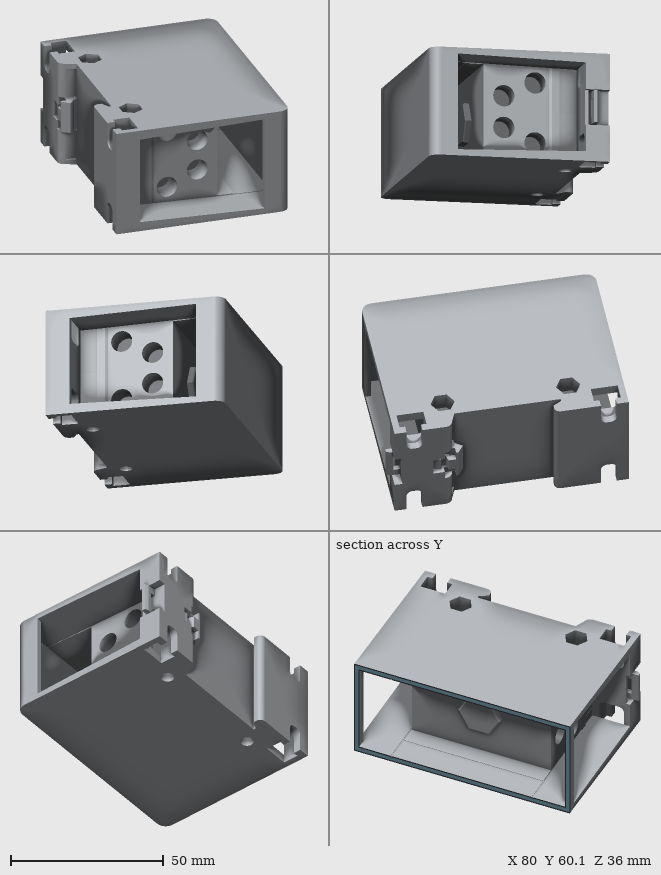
import cadquery as cq
import math

LENGTH = 78.0
HEIGHT = 60.1
WIDTH = 36.0
LATCH_OVERHANG = 2.0
HALF_LENGTH = LENGTH / 2
HALF_WIDTH = WIDTH / 2
LEFT = -HALF_LENGTH
LID_CORNER_RADIUS = 3.5

RAIL_DEPTH = 5.5
RAIL_LEFT_FOOT = -21.7
RAIL_LEFT_KNEE = -19.4
RAIL_LEFT_ROOT = -18.1
RAIL_KNEE_HEIGHT = 2.2
RAIL_LEFT_BULGE = 0.36
RAIL_FLANGE_WIDTH = 1.8
RAIL_RIGHT_ROOT = 17.4
RAIL_RIGHT_TIP = 14.5
RAIL_TIP_RADIUS = 1.9
RAIL_RIGHT_SLOPE_TOP = 4.6
RAIL_RIGHT_SLOPE_END = 3.0

BASE_TOP = 8.2
OPENING_TOP = 51.0
CAVITY_TOP = 57.6
LID_END_WALL = 1.8
WALL_TOP = 2.0
WALL_BASE = 3.2
TAPER_TOP = 52.4
LINER_TOP = 45.4
LINER_THICKNESS = 0.2
GROOVE_WIDTH = 0.6
GROOVE_DEPTH = 0.2

BLOCK_INSET = 13.8
BLOCK_TOP = 39.4
FOOT_PROUD = 0.5
FOOT_SLOPE_TOP = 17.4
FOOT_SLOPE_BOTTOM = 16.6
FOOT_BOTTOM = 13.9
STEP_HEIGHT = 0.1
STEP_EDGE = -11.7
WIRE_HOLE_DIAMETER = 7.1
WIRE_HOLE_DEPTH = 8.0
WIRE_HOLES = [(32.6, 5.3), (22.1, 10.0)]
HEAD_ACROSS_FLATS = 13.0
HEAD_HEIGHT = 2.1
HEAD_CHAMFER = 0.4

BOLT_SPACING = 41.8
BOLT_HEIGHT = 11.0
BOLT_DIAMETER = 4.3
NUT_ACROSS_FLATS = 7.0
NUT_DEPTH = 6.0

SLOT_CENTRE_INSET = 6.6
SLOT_WIDTH = 5.3
SLOT_REACH = 8.1
SLOT_CORNER = 2.0
SLOT_STEP = 1.8
SLOT_STEP_HEIGHT = 2.6

LATCH_WIDTH = 10.7
LATCH_BOTTOM = 4.1
LATCH_TOP = 5.8
LATCH_CHAMFER_LENGTH = 1.2
LATCH_CHAMFER_HEIGHT = 0.6
CHANNEL_WIDTH = 11.8
CHANNEL_TOP = 7.0
NOTCH_LENGTH = 2.6
NOTCH_SHORT_LENGTH = 1.4
NOTCH_START = -22.2
NOTCH_END = -17.8
HOOK_STEP = -18.5
HOOK_FOOT_END = -17.7
HOOK_TIP = -15.8
HOOK_TIP_HEIGHT = 2.6
HOOK_ROOT = -18.3
HOOK_ROOT_HEIGHT = 4.6
PRY_SLOT_WIDTH = 6.1
PRY_SLOT_INSET = 0.5
WINDOW_START = -26.0
WINDOW_END = -20.4
TONGUE_WIDTH = 4.3
TONGUE_START = -25.8
TONGUE_START_HEIGHT = 1.5
TONGUE_CREST = -23.4
TONGUE_CREST_HEIGHT = 0.7
TONGUE_BULGE = 0.2
TONGUE_VALLEY_START = -22.8
TONGUE_VALLEY_END = -21.6
TONGUE_VALLEY_HEIGHT = 2.2
TONGUE_STEP = -21.0


def span(x0, x1, y0, y1, z0, z1):
    """Block between two opposite corners."""
    return cq.Workplane("XY").box(x1 - x0, y1 - y0, z1 - z0, centered=False).translate((x0, y0, z0))


def centred_span(x0, x1, y0, y1, width):
    """Block centred on Z."""
    return span(x0, x1, y0, y1, -width / 2, width / 2)


def both_ends(shape):
    """The shape at the -X end together with its copy at the +X end."""
    return shape.union(shape.mirror("YZ"))


def outer_body():
    body = centred_span(LEFT, HALF_LENGTH, 0, HEIGHT, WIDTH)
    return body.edges("|Z and >Y").fillet(LID_CORNER_RADIUS)


def rail_recess():
    tip_bottom = RAIL_RIGHT_TIP + RAIL_TIP_RADIUS
    tip_arc_offset = RAIL_TIP_RADIUS * (1 - math.sqrt(0.5))
    knee_middle = (
        (RAIL_LEFT_FOOT + RAIL_LEFT_KNEE) / 2 + RAIL_LEFT_BULGE,
        RAIL_KNEE_HEIGHT / 2 - RAIL_LEFT_BULGE,
    )
    recess = (
        cq.Workplane("XY")
        .moveTo(RAIL_LEFT_FOOT, 0)
        .threePointArc(knee_middle, (RAIL_LEFT_KNEE, RAIL_KNEE_HEIGHT))
        .lineTo(RAIL_LEFT_ROOT, RAIL_DEPTH)
        .lineTo(RAIL_RIGHT_ROOT, RAIL_DEPTH)
        .lineTo(RAIL_RIGHT_ROOT, RAIL_RIGHT_SLOPE_TOP)
        .lineTo(RAIL_RIGHT_TIP, RAIL_RIGHT_SLOPE_END)
        .lineTo(RAIL_RIGHT_TIP, RAIL_TIP_RADIUS)
        .threePointArc((RAIL_RIGHT_TIP + tip_arc_offset, tip_arc_offset), (tip_bottom, 0))
        .close()
        .extrude(HALF_WIDTH, both=True)
    )
    relief_width = WIDTH - 2 * RAIL_FLANGE_WIDTH
    relief = centred_span(RAIL_LEFT_KNEE, RAIL_LEFT_ROOT, RAIL_KNEE_HEIGHT, RAIL_DEPTH, relief_width)
    return recess.union(relief)


def tapered_room(x0, x1, top, offset):
    """Room along X with walls that taper up to TAPER_TOP, each moved outwards by offset."""
    low = HALF_WIDTH - WALL_BASE + offset
    high = HALF_WIDTH - WALL_TOP + offset
    half_outline = [(BASE_TOP, low), (TAPER_TOP, high), (top, high)]
    mirrored = [(y, -z) for y, z in reversed(half_outline)]
    room = cq.Workplane("YZ").polyline(half_outline + mirrored).close().extrude(x1 - x0)
    return room.translate((x0, 0, 0))


def cavity():
    block_end = LEFT + BLOCK_INSET
    room = tapered_room(LEFT, -LEFT, CAVITY_TOP, 0)
    lid_wall = centred_span(LEFT, LEFT + LID_END_WALL, OPENING_TOP, CAVITY_TOP, WIDTH)
    room = room.cut(both_ends(lid_wall))
    lined_part = centred_span(block_end, -block_end, BASE_TOP, LINER_TOP, WIDTH)
    lined_room = tapered_room(block_end, -block_end, CAVITY_TOP, -LINER_THICKNESS)
    room = room.cut(lined_part.cut(lined_room))
    groove = tapered_room(block_end - GROOVE_WIDTH, block_end, CAVITY_TOP, GROOVE_DEPTH)
    return room.union(both_ends(groove))


def terminal_block():
    block_end = LEFT + BLOCK_INSET
    foot_end = block_end - FOOT_PROUD
    block = centred_span(block_end, -block_end, BASE_TOP, BLOCK_TOP, WIDTH - 2 * WALL_TOP)
    foot_outline = [
        (block_end, FOOT_SLOPE_TOP),
        (foot_end, FOOT_SLOPE_BOTTOM),
        (foot_end, FOOT_BOTTOM),
        (block_end, FOOT_BOTTOM),
    ]
    foot = cq.Workplane("XY").polyline(foot_outline).close().extrude(HALF_WIDTH - WALL_BASE, both=True)
    block = block.union(both_ends(foot))
    block_face = block_end
    for z_edge in (0, STEP_EDGE):
        block_face -= STEP_HEIGHT
        step = span(block_face, block_end, BASE_TOP, FOOT_BOTTOM, WALL_BASE - HALF_WIDTH, z_edge)
        block = block.union(both_ends(step))
    wire_holes = (
        cq.Workplane("YZ", origin=(block_end, 0, 0))
        .pushPoints([(y, side * z) for y, z in WIRE_HOLES for side in (-1, 1)])
        .circle(WIRE_HOLE_DIAMETER / 2)
        .extrude(WIRE_HOLE_DEPTH)
    )
    return block.cut(both_ends(wire_holes)).union(hex_head())


def hex_head():
    corner_diameter = HEAD_ACROSS_FLATS / math.cos(math.pi / 6)
    head = (
        cq.Workplane("XZ", origin=(0, BLOCK_TOP, 0))
        .polygon(6, corner_diameter)
        .extrude(-HEAD_HEIGHT)
    )
    return head.faces(">Y").edges().chamfer(HEAD_CHAMFER)


def bolt_hole():
    centre = (-BOLT_SPACING / 2, BOLT_HEIGHT)
    corner_diameter = NUT_ACROSS_FLATS / math.cos(math.pi / 6)
    hole = (
        cq.Workplane("XY").center(*centre).circle(BOLT_DIAMETER / 2).extrude(HALF_WIDTH, both=True)
    )
    nut_pocket = (
        cq.Workplane("XY", origin=(0, 0, HALF_WIDTH))
        .center(*centre)
        .polygon(6, corner_diameter)
        .extrude(-NUT_DEPTH)
    )
    return hole.union(nut_pocket)


def mounting_slot():
    centre = LEFT + SLOT_CENTRE_INSET
    parts = []
    for margin, y0, y1 in ((0, 0, SLOT_STEP_HEIGHT), (SLOT_STEP, SLOT_STEP_HEIGHT, BASE_TOP)):
        half = SLOT_WIDTH / 2 + margin
        floor = HALF_WIDTH - SLOT_REACH - margin
        part = span(centre - half, centre + half, y0, y1, floor, HALF_WIDTH)
        parts.append(part.edges("|Y and <Z").fillet(SLOT_CORNER))
    upper = parts[0].union(parts[1])
    return upper.union(upper.mirror("XY"))


def latch_channel():
    notch = centred_span(LEFT, LEFT + NOTCH_LENGTH, 0, CHANNEL_TOP, CHANNEL_WIDTH)
    inner_notch = centred_span(LEFT, LEFT + NOTCH_SHORT_LENGTH, CHANNEL_TOP, BASE_TOP, CHANNEL_WIDTH)
    channel = centred_span(LEFT, NOTCH_END, RAIL_DEPTH, CHANNEL_TOP, CHANNEL_WIDTH)
    hook_notch = centred_span(NOTCH_START, NOTCH_END, 0, CHANNEL_TOP, CHANNEL_WIDTH)
    return notch.union(inner_notch).union(channel).union(hook_notch).union(tongue_window())


def tongue_window():
    return centred_span(WINDOW_START, WINDOW_END, 0, LATCH_BOTTOM, PRY_SLOT_WIDTH)


def latch():
    outer_end = LEFT - LATCH_OVERHANG
    outline = [
        (outer_end, LATCH_TOP),
        (outer_end, LATCH_BOTTOM + LATCH_CHAMFER_HEIGHT),
        (outer_end + LATCH_CHAMFER_LENGTH, LATCH_BOTTOM),
        (NOTCH_START, LATCH_BOTTOM),
        (NOTCH_START, RAIL_KNEE_HEIGHT),
        (HOOK_STEP, RAIL_KNEE_HEIGHT),
        (HOOK_STEP, 0),
        (HOOK_FOOT_END, 0),
        (HOOK_TIP, HOOK_TIP_HEIGHT),
        (HOOK_ROOT, HOOK_ROOT_HEIGHT),
        (HOOK_ROOT, LATCH_TOP),
    ]
    slider = cq.Workplane("XY").polyline(outline).close().extrude(LATCH_WIDTH / 2, both=True)
    pry_slot = centred_span(
        LEFT + PRY_SLOT_INSET, LEFT + NOTCH_LENGTH, LATCH_BOTTOM, LATCH_TOP, PRY_SLOT_WIDTH
    )
    return slider.cut(pry_slot).cut(tongue_window()).union(spring_tongue())


def spring_tongue():
    return (
        cq.Workplane("XY")
        .moveTo(TONGUE_START, LATCH_BOTTOM)
        .lineTo(TONGUE_START, TONGUE_START_HEIGHT)
        .sagittaArc((TONGUE_CREST, TONGUE_CREST_HEIGHT), -TONGUE_BULGE)
        .lineTo(TONGUE_VALLEY_START, TONGUE_VALLEY_HEIGHT)
        .lineTo(TONGUE_VALLEY_END, TONGUE_VALLEY_HEIGHT)
        .lineTo(TONGUE_STEP, 0)
        .lineTo(HOOK_FOOT_END, 0)
        .lineTo(HOOK_FOOT_END, LATCH_BOTTOM)
        .close()
        .extrude(TONGUE_WIDTH / 2, both=True)
    )


housing = outer_body().cut(rail_recess())
housing = housing.cut(cavity()).union(terminal_block())
housing = housing.cut(both_ends(bolt_hole())).cut(both_ends(mounting_slot()))
result = housing.cut(latch_channel()).union(latch())